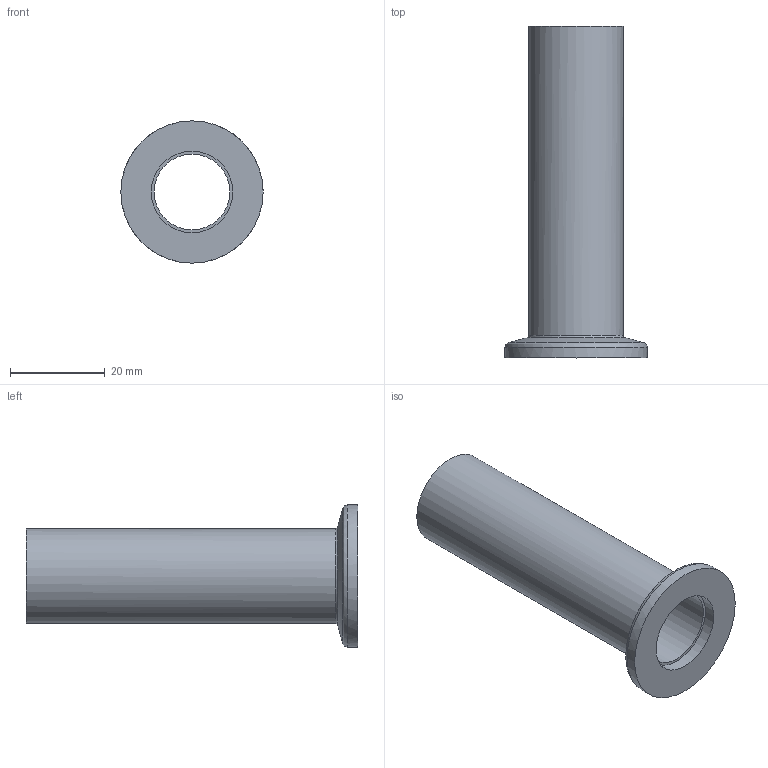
import cadquery as cq
import math

total_length = 70.0
flange_radius = 30.0 / 2
tube_outer_radius = 20.0 / 2
tube_bore_radius = 16.0 / 2

rim_thickness = 3.0
cone_angle = 15.0
rim_fillet = 1.0
neck_fillet = 0.5

recess_radius = 17.2 / 2
recess_depth = 2.5

cone_rise = (flange_radius - tube_outer_radius) * math.tan(math.radians(cone_angle))
neck_y = rim_thickness + cone_rise
selection_margin = 0.1


def make_profile():
    """Half section in the XY plane: x is the radius and y runs along the axis."""
    return (
        cq.Workplane("XY")
        .moveTo(recess_radius, 0)
        .lineTo(flange_radius, 0)
        .lineTo(flange_radius, rim_thickness)
        .lineTo(tube_outer_radius, neck_y)
        .lineTo(tube_outer_radius, total_length)
        .lineTo(tube_bore_radius, total_length)
        .lineTo(tube_bore_radius, recess_depth)
        .lineTo(recess_radius, recess_depth)
        .close()
    )


def edge_at(radius, y):
    """Selector for the circular edge of a given radius at a given place along the axis."""
    reach = radius + selection_margin
    return cq.selectors.BoxSelector(
        (-reach, y - selection_margin, -reach),
        (reach, y + selection_margin, reach),
    )


result = make_profile().revolve(360, (0, 0, 0), (0, 1, 0))
result = result.edges(edge_at(flange_radius, rim_thickness)).fillet(rim_fillet)
result = result.edges(edge_at(tube_outer_radius, neck_y)).fillet(neck_fillet)